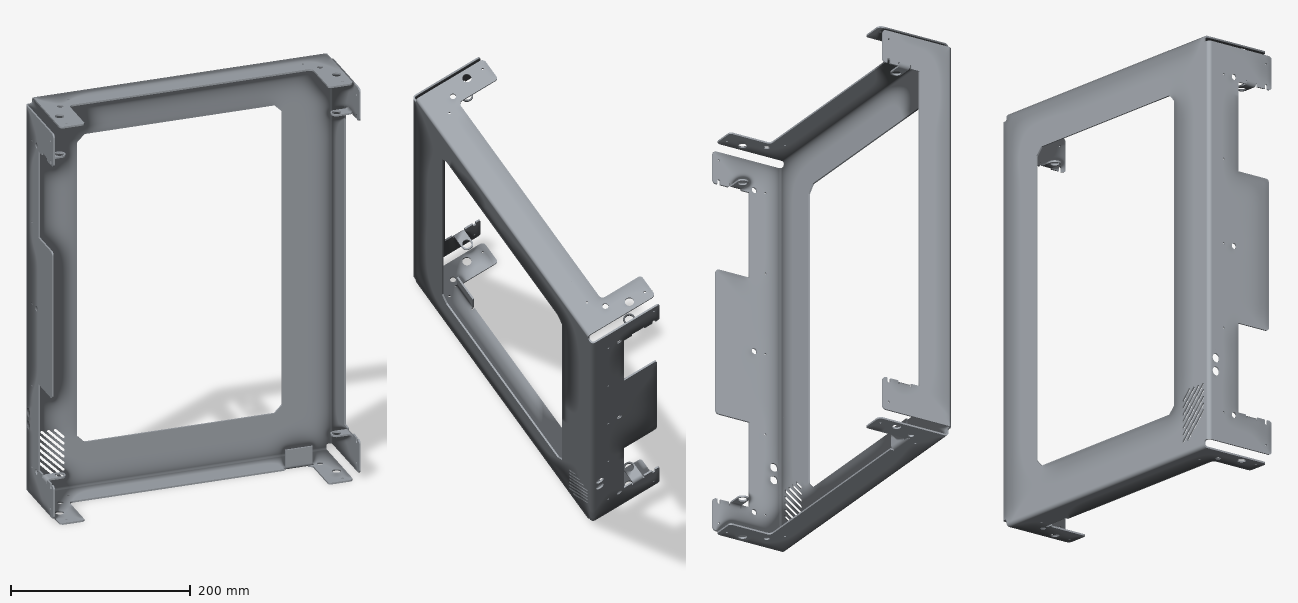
import cadquery as cq
import math

depth = 90.0
width = 364.0
height = 485.0
mid_z = height / 2

sheet = 2.0
bend_radius = 4.5
corner_gap = 8.2
relief_radius = 2.5

window_width = 242.5
window_height = 375.5
window_chamfer = 8.5

side_strip = 42.5
side_arm = 48.0
side_corner = 4.0
extension_depth = 86.5
extension_height = 178.5

cap_strip = 37.5
cap_arm = 38.0
cap_outer_corner = 5.0
cap_inner_corner = 3.5
cap_root_corner = 5.0

pin_hole = 2.45
screw_hole = 7.0
cable_hole = 10.0
pin_x = 22.0
screw_x = 36.5
tip_pin_x = 82.5
tip_pin_inset = 18.5
side_hole_pitch = 99.5
cap_pin_inset = 43.0
cap_screw_inset = 28.0
cable_x = 61.5
cable_inset = 18.0
notch_width = 4.0
notch_depth = 6.0
port_x = 10.5
port_heights = (89.5, 105.2)

tab_width = 13.5
tab_end_radius = 6.5
tab_reach = 24.5
tab_relief = 1.5
foot_tab_inset = 53.5
foot_tab_width = 32.0
foot_tab_reach = 24.5

slot_width = 3.0
slot_count = 8
slot_rise = 56.0
slot_pitch = slot_rise / (slot_count - 1)
vent_inset = 45.0
vent_bottom = 16.5
vent_width = 35.0
vent_height = 58.0

half_width = width / 2


def block(x_range, y_range, z_range):
    """Box between the given limits."""
    size = [high - low for low, high in (x_range, y_range, z_range)]
    corner = (x_range[0], y_range[0], z_range[0])
    return cq.Workplane("XY").box(*size, centered=False).translate(corner)


def mirrored_y(body):
    return body.union(body.mirror("XZ"))


def mirrored_z(body):
    return body.union(body.mirror("XY", (0, 0, mid_z)))


def four_corners(body):
    return mirrored_z(mirrored_y(body))


def folded_channel(y_half, z_half, fold_edges):
    """U channel open towards +X; fold_edges selects the direction of its folds."""
    y_in, z_in = (y_half - sheet, z_half) if fold_edges == "|Z" else (y_half, z_half - sheet)

    def rounded(x_start, y_limit, z_limit, radius):
        body = block((x_start, depth), (-y_limit, y_limit), (mid_z - z_limit, mid_z + z_limit))
        return body.edges(fold_edges).edges("<X").fillet(radius)

    outer = rounded(0, y_half, z_half, bend_radius)
    inner = rounded(sheet, y_in, z_in, bend_radius - sheet)
    return outer.cut(inner)


def side_hole(x, z, diameter):
    """Cutter along Y through the -Y flange only."""
    return (
        cq.Workplane("XZ", origin=(x, 0, z))
        .circle(diameter / 2)
        .extrude(width)
    )


def cap_hole(x, inset, diameter):
    """Cutter along Z near the -Y side through both caps and the tabs between them."""
    return (
        cq.Workplane("XY", origin=(x, inset - half_width, 0))
        .circle(diameter / 2)
        .extrude(height)
    )


def side_flanges():
    body = folded_channel(half_width, mid_z - corner_gap, "|Z")
    everywhere = (-half_width, half_width)
    between_arms = block((side_strip, depth), everywhere, (side_arm, height - side_arm))
    body = body.cut(between_arms)
    body = body.edges("|Y").edges(">X").fillet(side_corner)
    extension = block(
        (bend_radius, extension_depth),
        (-half_width, sheet - half_width),
        (mid_z - extension_height / 2, mid_z + extension_height / 2),
    )
    extension = extension.edges("|Y").edges(">X").fillet(side_corner)
    return body.union(extension)


def cap_flanges():
    body = folded_channel(half_width - corner_gap, mid_z, "|Y")
    arm_edge = half_width - cap_arm
    between_arms = block((cap_strip, depth), (-arm_edge, arm_edge), (0, height))
    between_arms = between_arms.edges("|Z").edges("<X").fillet(cap_root_corner)
    body = body.cut(between_arms)
    arm_middle = half_width - (corner_gap + cap_arm) / 2
    body = round_tips(body, lambda edge: abs(edge.Center().y) > arm_middle, cap_outer_corner)
    return round_tips(body, lambda edge: abs(edge.Center().y) < arm_middle, cap_inner_corner)


def round_tips(body, chosen, radius):
    """Round the chosen corners at the free ends of the cap arms."""
    tips = body.edges("|Z").edges(">X").filter(chosen)
    return body.newObject(tips.vals()).fillet(radius)


def round_corner_gaps(body):
    """Round the root of the open corners of the front plate."""
    root_y = half_width - corner_gap
    root_z = mid_z - corner_gap

    def at_root(edge):
        spot = edge.Center()
        y_error = abs(abs(spot.y) - root_y)
        z_error = abs(abs(spot.z - mid_z) - root_z)
        return max(y_error, z_error) < sheet / 2

    roots = body.edges("|X").filter(at_root)
    return body.newObject(roots.vals()).fillet(relief_radius)


def bent_tab(plane, edge, reach, across):
    """Tab folded from a flange edge; local x runs inwards and local y towards the edge."""
    inner_radius = bend_radius - sheet
    fold_start = edge - bend_radius
    return (
        cq.Workplane(plane)
        .moveTo(0, fold_start)
        .radiusArc((bend_radius, edge), bend_radius)
        .lineTo(reach, edge)
        .lineTo(reach, edge - sheet)
        .lineTo(bend_radius, edge - sheet)
        .radiusArc((sheet, fold_start), -inner_radius)
        .close()
        .extrude(across / 2, both=True)
    )


def add_side_tabs(body):
    half_slit = tab_width / 2 + tab_relief
    gap = block(
        (cable_x - half_slit, cable_x + half_slit),
        (-half_width, sheet - half_width),
        (side_arm - bend_radius, side_arm),
    )
    plane = cq.Plane(origin=(cable_x, -half_width, 0), xDir=(0, 1, 0), normal=(1, 0, 0))
    tab = bent_tab(plane, side_arm, tab_reach, tab_width)
    tab = tab.edges("|Z").edges(">Y").fillet(tab_end_radius)
    return body.cut(four_corners(gap)).union(four_corners(tab))


def add_foot_tab(body):
    half_slit = foot_tab_width / 2 + tab_relief
    tab_y = half_width - foot_tab_inset
    gap = block(
        (cap_strip - bend_radius, cap_strip),
        (tab_y - half_slit, tab_y + half_slit),
        (0, sheet),
    )
    plane = cq.Plane(origin=(0, tab_y, 0), xDir=(0, 0, 1), normal=(0, 1, 0))
    tab = bent_tab(plane, cap_strip, foot_tab_reach, foot_tab_width)
    return body.cut(gap).union(tab)


def window():
    y_limits = (-window_width / 2, window_width / 2)
    z_limits = (mid_z - window_height / 2, mid_z + window_height / 2)
    return block((0, sheet), y_limits, z_limits).edges("|X").chamfer(window_chamfer)


def vent_slots():
    """Cutters that climb towards -Y, clipped by the vent rectangle."""
    slots = cq.Workplane("YZ")
    for index in range(slot_count):
        rise = (index - 1) * slot_pitch
        start = max(0, -rise)
        end = min(vent_width, vent_height - rise)
        middle = (start + end) / 2
        slot = (
            cq.Workplane("YZ")
            .center(vent_inset - half_width - middle, vent_bottom + rise + middle)
            .slot2D((end - start) * math.sqrt(2) + slot_width, slot_width, 135)
            .extrude(sheet)
        )
        slots.add(slot)
    return slots.combine()


def arm_notch():
    """Round-ended notch in the edge of an arm of the side flange."""
    root = side_arm - notch_depth + notch_width / 2
    slot = block(
        (tip_pin_x - notch_width / 2, tip_pin_x + notch_width / 2),
        (-half_width, sheet - half_width),
        (root, side_arm),
    )
    return slot.union(side_hole(tip_pin_x, root, notch_width))


def side_holes():
    """Hole pattern of the side flanges; the rows along Z are in the -Y flange only."""
    holes = four_corners(side_hole(tip_pin_x, tip_pin_inset, pin_hole))
    for step in range(-2, 3):
        holes = holes.union(side_hole(pin_x, mid_z + step * side_hole_pitch, pin_hole))
    for step in (-2, 0, 2):
        holes = holes.union(side_hole(screw_x, mid_z + step * side_hole_pitch, screw_hole))
    for port_height in port_heights:
        holes = holes.union(side_hole(port_x, port_height, cable_hole))
    return holes


def cap_holes():
    """Hole pattern of both caps, alike at the two ends."""
    holes = cap_hole(pin_x, cap_pin_inset, pin_hole)
    holes = holes.union(cap_hole(screw_x, cap_screw_inset, screw_hole))
    holes = holes.union(cap_hole(cable_x, cable_inset, cable_hole))
    holes = holes.union(cap_hole(tip_pin_x, tip_pin_inset, pin_hole))
    return mirrored_y(holes)


shell = round_corner_gaps(side_flanges().union(cap_flanges()))
shell = add_foot_tab(add_side_tabs(shell))
shell = shell.cut(window()).cut(vent_slots())
shell = shell.cut(four_corners(arm_notch()))
result = shell.cut(side_holes()).cut(cap_holes())